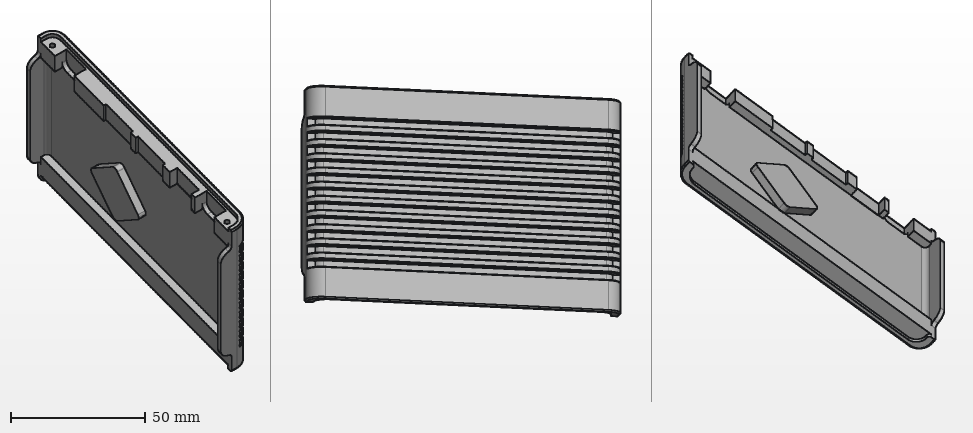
import cadquery as cq
import math

WIDTH = 120.0
HEIGHT = 81.0
BODY_DEPTH = 8.4
WALL = 2.0
CORNER_RADIUS = 6.0
EDGE_CHAMFER = 0.6
INNER_RADIUS = CORNER_RADIUS - WALL

HALF_WIDTH = WIDTH / 2
HALF_HEIGHT = HEIGHT / 2
INNER_HALF_WIDTH = HALF_WIDTH - WALL

EAR_HEIGHT = 5.0
EAR_HALF_LENGTH = 31.7
EAR_ROOT_RADIUS = 2.0
EAR_TIP_RADIUS = 4.9

CAVITY_FLOOR_DEPTH = 5.0
CAVITY_RADIUS = 2.0
BLOCK_HEIGHT = 9.0
BAR_HEIGHT = 10.9
CAVITY_TOP = HALF_HEIGHT - WALL - BLOCK_HEIGHT
CAVITY_BOTTOM = -HALF_HEIGHT + WALL + BAR_HEIGHT

BOTTOM_RECESS_INSET = 3.2
BOTTOM_RECESS_RADIUS = 5.0

POCKET_CENTER = 43.3
POCKET_WIDTH = 12.0
POCKET_FLOOR_DEPTH = 3.0
POCKET_CORNER_RADIUS = 3.0
SHALLOW_NOTCH_WIDTH = 16.7
SHALLOW_NOTCH_DEPTH = 1.1
SHALLOW_NOTCH_CENTERS = (-10.8, 9.0)
DEEP_NOTCH_WIDTH = 13.5
DEEP_NOTCH_DEPTH = 3.5
DEEP_NOTCH_CENTER = 28.5

HOLE_DIAMETER = 2.0
HOLE_DEPTH = 7.2
DRILL_TIP_ANGLE = 118

PAD_SIDE = 22.1
PAD_CORNER_RADIUS = 2.0
PAD_X = -12.2
PAD_Z = -5.9

GROOVE_COUNT = 11
GROOVE_PITCH = 5.4
GROOVE_DEPTH = 2.9
GROOVE_SIDE_REACH = 4.5
FIN_THICKNESS = 2.6
FIN_CHAMFER = 0.4


def slab(x_min, x_max, depth_min, depth_max, z_min, z_max):
    """Box between two X, two depths below the back face, and two Z."""
    size = (x_max - x_min, depth_max - depth_min, z_max - z_min)
    return cq.Workplane().box(*size, centered=False).translate((x_min, -depth_max, z_min))


def rounded_prism(half_width, back_depth, front_depth, radius, z_min, z_max):
    """Slab along Z whose two back corners are rounded."""
    block = slab(-half_width, half_width, back_depth, front_depth, z_min, z_max)
    return block.edges("|Z and >Y").fillet(radius)


def chamfer_ends(prism, size):
    """Bevel the back and side edges at both Z ends, leaving the front edges sharp."""
    return prism.faces("<Z or >Z").edges("not <Y").chamfer(size)


def make_outer():
    """Grooved body: bevelled fins stand between the grooves, on a smaller rounded core."""
    groove_zone = GROOVE_COUNT * GROOVE_PITCH / 2
    grooves = slab(-HALF_WIDTH, HALF_WIDTH, 0, GROOVE_SIDE_REACH, -groove_zone, groove_zone)
    core = rounded_prism(
        HALF_WIDTH - GROOVE_DEPTH, GROOVE_DEPTH, BODY_DEPTH,
        CORNER_RADIUS - GROOVE_DEPTH, -HALF_HEIGHT, HALF_HEIGHT,
    )
    grooves = grooves.cut(core)
    for index in range(GROOVE_COUNT + 1):
        z = (index - GROOVE_COUNT / 2) * GROOVE_PITCH
        low, high = z - FIN_THICKNESS / 2, z + FIN_THICKNESS / 2
        if index == 0:
            low = -HALF_HEIGHT
        if index == GROOVE_COUNT:
            high = HALF_HEIGHT
        fin = rounded_prism(HALF_WIDTH, 0, BODY_DEPTH, CORNER_RADIUS, low, high)
        grooves = grooves.cut(chamfer_ends(fin, FIN_CHAMFER))
    body = rounded_prism(HALF_WIDTH, 0, BODY_DEPTH, CORNER_RADIUS, -HALF_HEIGHT, HALF_HEIGHT)
    return chamfer_ends(body, EDGE_CHAMFER).cut(grooves)


def make_ear(side):
    """S-curved ear on one side wall (side is -1 or +1)."""
    total = EAR_ROOT_RADIUS + EAR_TIP_RADIUS
    turn = math.acos(1 - EAR_HEIGHT / total)

    def root_point(angle):
        depth = BODY_DEPTH + EAR_ROOT_RADIUS * (1 - math.cos(angle))
        return -depth, EAR_HALF_LENGTH - EAR_ROOT_RADIUS * math.sin(angle)

    def tip_point(angle):
        depth = BODY_DEPTH + EAR_HEIGHT - EAR_TIP_RADIUS * (1 - math.cos(angle))
        return -depth, EAR_HALF_LENGTH - total * math.sin(turn) + EAR_TIP_RADIUS * math.sin(angle)

    def mirrored(point):
        return point[0], -point[1]

    root_end, root_mid, root_start = root_point(turn), root_point(turn / 2), root_point(0)
    tip_mid, tip_end = tip_point(turn / 2), tip_point(0)
    profile = (
        cq.Workplane("YZ")
        .moveTo(-CORNER_RADIUS, EAR_HALF_LENGTH)
        .lineTo(*root_start)
        .threePointArc(root_mid, root_end)
        .threePointArc(tip_mid, tip_end)
        .lineTo(*mirrored(tip_end))
        .threePointArc(mirrored(tip_mid), mirrored(root_end))
        .threePointArc(mirrored(root_mid), mirrored(root_start))
        .lineTo(-CORNER_RADIUS, -EAR_HALF_LENGTH)
        .close()
    )
    ear = profile.extrude(WALL)
    return ear.translate((-HALF_WIDTH if side < 0 else INNER_HALF_WIDTH, 0, 0))


def make_cavity():
    """Main hollow, open to the front, with rounded corners where its sides meet the floor."""
    return rounded_prism(
        INNER_HALF_WIDTH, CAVITY_FLOOR_DEPTH, BODY_DEPTH, CAVITY_RADIUS, CAVITY_BOTTOM, CAVITY_TOP
    )


def make_bottom_recess():
    """Hollow at the bottom end: rounded back corners and a mouth rounded over to the wall."""
    mouth_radius = BOTTOM_RECESS_INSET - WALL
    half_width = HALF_WIDTH - BOTTOM_RECESS_INSET
    z_min, z_max = -HALF_HEIGHT, -HALF_HEIGHT + WALL
    hollow = rounded_prism(half_width, WALL, BODY_DEPTH, BOTTOM_RECESS_RADIUS, z_min, z_max)
    mouth = slab(-INNER_HALF_WIDTH, INNER_HALF_WIDTH, BODY_DEPTH - mouth_radius, BODY_DEPTH, z_min, z_max)
    for side in (-1, 1):
        lip = cq.Workplane().circle(mouth_radius).extrude(WALL)
        mouth = mouth.cut(lip.translate((side * INNER_HALF_WIDTH, mouth_radius - BODY_DEPTH, z_min)))
    return hollow.union(mouth)


def make_pocket(x):
    """Slot between the blocks; its two bottom corners are rounded below the cavity floor."""
    low, high = x - POCKET_WIDTH / 2, x + POCKET_WIDTH / 2
    pocket = slab(low, high, POCKET_FLOOR_DEPTH, CAVITY_FLOOR_DEPTH, CAVITY_TOP, HALF_HEIGHT)
    pocket = pocket.edges("|Y and <Z").fillet(POCKET_CORNER_RADIUS)
    return pocket.union(slab(low, high, CAVITY_FLOOR_DEPTH, BODY_DEPTH, CAVITY_TOP, HALF_HEIGHT))


def make_notch(x, width, depth):
    """Notch cut back from the front face of the block row, over its full height."""
    return slab(x - width / 2, x + width / 2, BODY_DEPTH - depth, BODY_DEPTH, CAVITY_TOP, HALF_HEIGHT)


def make_screw_hole(side):
    """Blind hole down from the corner block top, ending in a conical drill tip."""
    radius = HOLE_DIAMETER / 2
    tip = radius / math.tan(math.radians(DRILL_TIP_ANGLE / 2))
    outline = [(0, 0), (radius, 0), (radius, -HOLE_DEPTH), (0, -HOLE_DEPTH - tip)]
    hole = cq.Workplane("XZ").polyline(outline).close().revolve(360, (0, 0, 0), (0, 1, 0))
    return hole.translate((side * (HALF_WIDTH - CORNER_RADIUS), -CORNER_RADIUS, HALF_HEIGHT - WALL))


def make_pad():
    """Square pad turned onto its corner, level with the front of the body."""
    pad = cq.Workplane().box(PAD_SIDE, BODY_DEPTH - CAVITY_FLOOR_DEPTH, PAD_SIDE)
    pad = pad.edges("|Y").fillet(PAD_CORNER_RADIUS).rotate((0, 0, 0), (0, 1, 0), 45)
    return pad.translate((PAD_X, -(BODY_DEPTH + CAVITY_FLOOR_DEPTH) / 2, PAD_Z))


result = make_outer()

top_recess = rounded_prism(
    INNER_HALF_WIDTH, WALL, BODY_DEPTH, INNER_RADIUS, HALF_HEIGHT - WALL, HALF_HEIGHT
)
result = result.cut(top_recess).cut(make_bottom_recess()).cut(make_cavity())

for side in (-1, 1):
    result = result.cut(make_pocket(side * POCKET_CENTER))
for x in SHALLOW_NOTCH_CENTERS:
    result = result.cut(make_notch(x, SHALLOW_NOTCH_WIDTH, SHALLOW_NOTCH_DEPTH))
result = result.cut(make_notch(DEEP_NOTCH_CENTER, DEEP_NOTCH_WIDTH, DEEP_NOTCH_DEPTH))

for side in (-1, 1):
    result = result.cut(make_screw_hole(side)).union(make_ear(side))
result = result.union(make_pad())